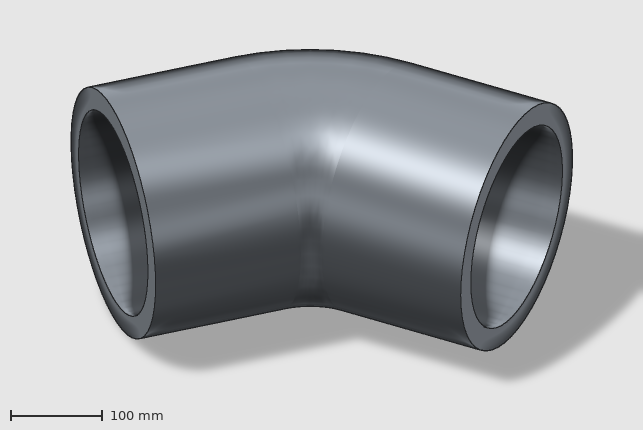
import cadquery as cq
import math

outer_diameter = 280.0
inner_diameter = 229.5
bend_radius = 170.0
bend_angle = 45.0
leg_length = 168.0

angle = math.radians(bend_angle)


def bend_point(turned):
    """Point on the centreline after turning through the given angle in radians."""
    return (
        bend_radius * (1 - math.cos(turned)),
        leg_length + bend_radius * math.sin(turned),
    )


bend_start = bend_point(0)
bend_middle = bend_point(angle / 2)
bend_end = bend_point(angle)
outlet = (
    bend_end[0] + leg_length * math.sin(angle),
    bend_end[1] + leg_length * math.cos(angle),
)
centreline = (
    cq.Workplane("XY")
    .lineTo(*bend_start)
    .threePointArc(bend_middle, bend_end)
    .lineTo(*outlet)
)

result = (
    cq.Workplane("XZ")
    .circle(outer_diameter / 2)
    .circle(inner_diameter / 2)
    .sweep(centreline)
)